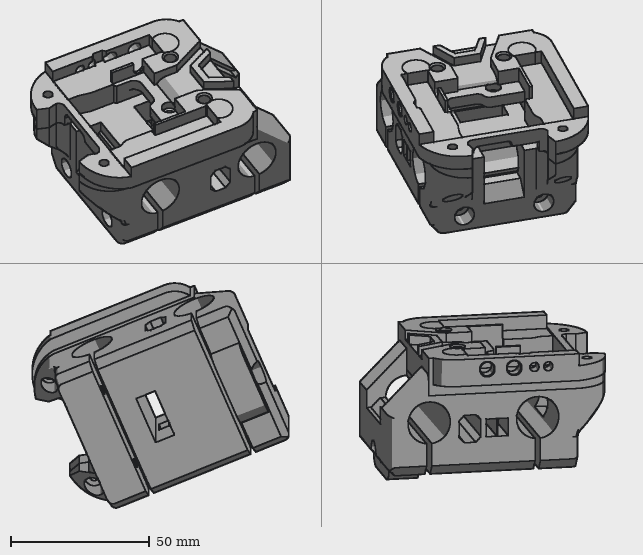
import cadquery as cq
import math

plate_half_width = 32.0
block_half_width = 27.55
back_y = 82.0
plate_back_y = 67.2
plate_front_y = 12.6
block_front_y = 12.0

top_z = 49.0
trough_z = 45.6
wing_top_z = 44.6
floor_z = 44.0
finger_top_z = 43.4
plate_bottom_z = 39.0
parting_z = 35.0
block_bottom_z = 5.1

bore_radius = 7.8
bore_z = 24.9
front_bore_y = 27.1
rear_bore_y = 67.1
clamp_slot_width = 2.0
bottom_chamfer_width = 2.95
bottom_chamfer_height = 3.8
rear_bottom_chamfer = 2.8
cheek_round = 2.95
left_cheek_bevel_size = 2.0
edge_round = 2.0
back_slope_top_z = 42.8
back_slope_bottom_z = back_slope_top_z - (back_y - plate_back_y)
back_gap_half_width = 12.55
back_gap_z = bore_z
back_gap_slope = 3.45
back_gap_rear_y = 80.4

tab_half_width = 14.0
tab_corner_radius = 4.9
tab_back_y = 79.1
tab_hole_radius = 4.2
tab_hole_z = 8.1

window_half_width = 7.6
window_back_y = 22.05
window_ledge_z = 20.0
window_ledge_y = 16.9
window_sill_z = 14.9

shaft_half_width = 9.0
shaft_front_y = 36.6
shaft_back_y = 43.95

octagon_y = 52.0
octagon_z = 22.0
octagon_width = 8.0
octagon_height = 10.25
octagon_chamfer = 2.0

belt_slot_length = 3.9
belt_slot_height = 6.6
belt_slot_z = 22.0
belt_slot_middles = (39.85, 44.1)

clamp_screw_x = 15.0
clamp_screw_z = 11.1
clamp_screw_diameter = 3.3
clamp_head_diameter = 7.4
clamp_head_depth = 6.6
clamp_screw_end_y = 41.0

wing_tip_x = 15.75
wing_slope_top_z = 30.2
wing_root_z = 16.9
wing_root_radius = 2.9
wing_edge_round = 1.3
wing_bulge = 0.17
wing_hook_points = ((-14.3, 4.4), (-15.1, 7.8))
wing_hollow_sag = 0.4
wing_bar_y = 9.8
wing_bar_x = 12.6
wing_groove_x = 12.1
wing_hole_x = 20.8
wing_hole_y = 7.55
wing_hole_diameter = 3.45
left_nut_diameter = 7.2
right_nut_diameter = 6.1

plate_corner_radius = 10.0
side_pocket_inner_x = 16.5
side_pocket_outer_x = 26.5
side_pocket_back_y = 52.6
rim_notch_y = 31.9
rim_notch_outer_length = 3.6

trough_half_width = 7.6
trough_back_half_width = 14.9
trough_corner_y = 53.55
trough_roll_start_y = 49.2
trough_roll_end_y = 45.2
shoulder_front_y = 44.2
fence_inner_x = 15.4
fence_front_y = 31.2
fence_notch_front_y = 40.0

pocket_flare_start_y = 16.2
left_flare_end_y = 22.6
left_flare_end_x = 14.5
right_flare_end_y = 21.3
pocket_corner_bevel = 0.8

finger_front_y = 37.1
finger_hook_y = 40.6
finger_left_x = 13.7
finger_corner_radius = 3.3
finger_step_start_x = -2.05
finger_step_end_x = 2.8
finger_hole_x = 5.4
finger_hole_y = 43.1
finger_hole_diameter = 3.1
finger_head_diameter = 5.6
finger_head_depth = 2.95
undercut_back_y = 44.8

arch_left_x = -12.1
arch_right_x = 2.3
arch_height = 2.5
arch_radius = 2.0

mount_screw_x = 12.55
mount_screw_y = 53.55
mount_screw_diameter = 3.45
mount_insert_diameter = 4.4
mount_insert_depth = 6.6
mount_rim_diameter = 5.7
mount_rim_depth = 0.65

side_hole_z = 44.9
large_side_holes = (36.6, 46.5)
small_side_holes = (24.0, 29.1)
large_side_diameter = 5.1
large_side_rim_diameter = 5.6
large_side_rim_depth = 0.5
small_side_diameter = 3.3

chevron_front_y = 57.65
chevron_inner_y = 60.35
chevron_outer_half_widths = (9.9, 5.0)
chevron_inner_half_widths = (7.4, 3.7)

plug_x = 20.0
plug_y = 55.5
plug_diameter = 10.0


def box(x0, x1, y0, y1, z0, z1):
    """Axis-aligned box between the given limits."""
    return cq.Workplane("XY").box(x1 - x0, y1 - y0, z1 - z0, centered=False).translate((x0, y0, z0))


def post(x, y, diameter, z0, z1):
    """Upright cylinder."""
    return cq.Workplane("XY", origin=(x, y, z0)).circle(diameter / 2).extrude(z1 - z0)


def side_bar(y, z, diameter, x0, x1):
    """Cylinder along X."""
    return cq.Workplane("YZ", origin=(x0, 0, 0)).center(y, z).circle(diameter / 2).extrude(x1 - x0)


def long_bar(x, z, diameter, y0, y1):
    """Cylinder along Y."""
    return cq.Workplane("XZ", origin=(0, y0, 0)).center(x, z).circle(diameter / 2).extrude(y0 - y1)


def side_prism(points, half_width):
    """Prism across X, symmetric about x = 0, from (y, z) points."""
    return cq.Workplane("YZ").polyline(points).close().extrude(half_width, both=True)


def both_sides(left):
    """The left-hand shape together with its mirror image."""
    return left.union(left.mirror("YZ"))


def left_wing(outer_x, root_y, inner_points, z0, z1):
    """Left wing: bulging outer arc, hooked inner edge, hollow arc to the first inner point, then the rest."""
    chord_x = outer_x - wing_tip_x
    chord = math.hypot(chord_x, root_y)
    rise = wing_bulge * chord
    bulge_point = (
        -(outer_x + wing_tip_x) / 2 - rise * root_y / chord,
        root_y / 2 - rise * chord_x / chord,
    )
    hook_end = wing_hook_points[-1]
    hollow_end, *root_points = inner_points
    hollow_point = (
        (hook_end[0] + hollow_end[0]) / 2 - wing_hollow_sag,
        (hook_end[1] + hollow_end[1]) / 2 + wing_hollow_sag,
    )
    return (
        cq.Workplane("XY", origin=(0, 0, z0))
        .moveTo(-outer_x, root_y)
        .threePointArc(bulge_point, (-wing_tip_x, 0))
        .polyline(wing_hook_points, includeCurrent=True)
        .threePointArc(hollow_point, hollow_end)
        .polyline(root_points, includeCurrent=True)
        .close()
        .extrude(z1 - z0)
    )


def block_body():
    """Long block with a sloping rear, chamfered along the bottom."""
    profile = [
        (block_front_y, block_bottom_z),
        (back_y - rear_bottom_chamfer, block_bottom_z),
        (back_y, block_bottom_z + rear_bottom_chamfer),
        (back_y, back_slope_bottom_z),
        (plate_back_y, back_slope_top_z),
        (plate_back_y, parting_z),
        (block_front_y, parting_z),
    ]
    body = side_prism(profile, block_half_width)
    section = [
        (-block_half_width, block_bottom_z + bottom_chamfer_height),
        (-block_half_width + bottom_chamfer_width, block_bottom_z),
        (block_half_width - bottom_chamfer_width, block_bottom_z),
        (block_half_width, block_bottom_z + bottom_chamfer_height),
        (block_half_width, top_z),
        (-block_half_width, top_z),
    ]
    body = body.intersect(cq.Workplane("XZ").polyline(section).close().extrude(-back_y))
    body = body.faces("<Y").edges("not |X").fillet(edge_round)
    rear_edges = cq.selectors.BoxSelector(
        (-plate_half_width, plate_back_y + edge_round, block_bottom_z + bottom_chamfer_height),
        (plate_half_width, back_y + edge_round, top_z),
    )
    return body.edges(rear_edges).edges("<X or >X").fillet(cheek_round)


def block_wings():
    """Wings under the carriage wings, cut off below by a 45 degree slope."""
    groove_end = [
        (-wing_groove_x, block_front_y),
        (-wing_groove_x, block_front_y + edge_round),
        (-block_half_width, block_front_y + edge_round),
    ]
    wings = both_sides(left_wing(block_half_width, block_front_y, groove_end, wing_root_z, parting_z))
    root_center_y = block_front_y - wing_root_radius
    quarter = math.radians(45)
    bend_middle = quarter / 2
    slope_end_y = root_center_y + wing_root_radius * math.cos(quarter)
    slope_end_z = wing_slope_top_z - slope_end_y
    root_center_z = slope_end_z - wing_root_radius * math.sin(quarter)
    keep = (
        cq.Workplane("YZ")
        .moveTo(0, parting_z)
        .lineTo(0, wing_slope_top_z)
        .lineTo(slope_end_y, slope_end_z)
        .threePointArc(
            (
                root_center_y + wing_root_radius * math.cos(bend_middle),
                root_center_z + wing_root_radius * math.sin(bend_middle),
            ),
            (block_front_y, root_center_z),
        )
        .lineTo(block_front_y + edge_round, root_center_z)
        .lineTo(block_front_y + edge_round, parting_z)
        .close()
        .extrude(block_half_width, both=True)
    )
    wings = wings.intersect(keep)
    wings = wings.faces(">(0,-1,-1)").edges("not |X").fillet(wing_edge_round)
    for x, diameter in ((-wing_hole_x, left_nut_diameter), (wing_hole_x, right_nut_diameter)):
        wings = wings.cut(post(x, wing_hole_y, diameter, wing_root_z, parting_z))
    return wings


def block_tab():
    """Rounded tab hanging under the rear clamp, behind its slot."""
    tab_front_y = rear_bore_y + clamp_slot_width / 2
    tab = box(-tab_half_width, tab_half_width, tab_front_y, tab_back_y, 0, block_bottom_z + edge_round)
    return tab.edges("|Y and <Z").fillet(tab_corner_radius)


def block_bores():
    """Two cross bores, each with a clamping slot down to the bottom."""
    cuts = cq.Workplane("XY")
    half_slot = clamp_slot_width / 2
    for y in (front_bore_y, rear_bore_y):
        cuts = cuts.union(side_bar(y, bore_z, 2 * bore_radius, -block_half_width, block_half_width))
        cuts = cuts.union(
            box(-block_half_width, block_half_width, y - half_slot, y + half_slot, 0, bore_z)
        )
    return cuts


def block_back_gap():
    """Gap between the two rear cheeks, with a sloped sill."""
    profile = [
        (plate_back_y, back_gap_z),
        (back_gap_rear_y - back_gap_slope, back_gap_z),
        (back_gap_rear_y, back_gap_z - back_gap_slope),
        (back_y, back_gap_z - back_gap_slope),
        (back_y, top_z),
        (plate_back_y, top_z),
    ]
    return side_prism(profile, back_gap_half_width)


def left_cheek_bevel():
    """Bevel along the inner sloping edge of the left cheek."""
    size = left_cheek_bevel_size
    slope_length = math.sqrt(2) * (back_y - plate_back_y)
    across = cq.Plane(
        origin=(-back_gap_half_width, plate_back_y, back_slope_top_z), xDir=(1, 0, 0), normal=(0, 1, -1)
    )
    section = [(0, size), (0, -size), (-2 * size, size)]
    return cq.Workplane(across).polyline(section).close().extrude(slope_length)


def block_window():
    """Front window, open above and running into the front bore over a ramp."""
    profile = [
        (block_front_y, window_sill_z),
        (window_ledge_y, window_ledge_z),
        (window_back_y, window_ledge_z),
        (window_back_y, parting_z),
        (block_front_y, parting_z),
    ]
    return side_prism(profile, window_half_width)


def block_octagon_hole():
    """Eight-sided passage across the block."""
    return (
        cq.Workplane("YZ")
        .center(octagon_y, octagon_z)
        .rect(octagon_width, octagon_height)
        .extrude(block_half_width, both=True)
        .edges("|X")
        .chamfer(octagon_chamfer)
    )


def block_belt_slots():
    """Two slots from the left side into the shaft."""
    slots = cq.Workplane("XY")
    for y in belt_slot_middles:
        slots = slots.union(
            box(
                -block_half_width,
                -shaft_half_width,
                y - belt_slot_length / 2,
                y + belt_slot_length / 2,
                belt_slot_z - belt_slot_height / 2,
                belt_slot_z + belt_slot_height / 2,
            )
        )
    return slots


def clamp_screw_holes():
    """Lengthwise clamp screw holes, counterbored from the front."""
    holes = cq.Workplane("XY")
    for x in (-clamp_screw_x, clamp_screw_x):
        holes = holes.union(long_bar(x, clamp_screw_z, clamp_screw_diameter, 0, clamp_screw_end_y))
        holes = holes.union(
            long_bar(x, clamp_screw_z, clamp_head_diameter, 0, block_front_y + clamp_head_depth)
        )
    return holes


def make_clamp_block():
    shaft = box(-shaft_half_width, shaft_half_width, shaft_front_y, shaft_back_y, 0, parting_z)
    return (
        block_body()
        .union(block_wings())
        .union(block_tab())
        .cut(block_bores())
        .cut(block_back_gap())
        .cut(left_cheek_bevel())
        .cut(block_window())
        .cut(shaft)
        .cut(block_octagon_hole())
        .cut(block_belt_slots())
        .cut(clamp_screw_holes())
        .cut(long_bar(0, tab_hole_z, 2 * tab_hole_radius, rear_bore_y, back_y))
    )


def carriage_body():
    """Wide plate with rounded rear corners on a narrower, square-cornered core, plus wings."""
    plate = box(
        -plate_half_width, plate_half_width, plate_front_y, plate_back_y, plate_bottom_z, top_z
    )
    plate = plate.edges("|Z and >Y").fillet(plate_corner_radius)
    core = box(-block_half_width, block_half_width, plate_front_y, plate_back_y, parting_z, top_z)
    bar_end = [(-wing_bar_x, wing_bar_y), (0, wing_bar_y), (0, plate_front_y)]
    upper_wings = both_sides(left_wing(plate_half_width, plate_front_y, bar_end, plate_bottom_z, wing_top_z))
    wing_end = [
        (-wing_bar_x, wing_bar_y),
        (-wing_bar_x, plate_front_y),
        (-block_half_width, plate_front_y),
    ]
    lower_wings = both_sides(left_wing(block_half_width, block_front_y, wing_end, parting_z, plate_bottom_z))
    body = plate.union(core).union(upper_wings).union(lower_wings)
    for x in (-wing_hole_x, wing_hole_x):
        body = body.cut(post(x, wing_hole_y, wing_hole_diameter, parting_z, wing_top_z))
    return body


def side_pockets():
    """Long pockets inside the rims, open to the front."""
    return both_sides(
        box(
            -side_pocket_outer_x,
            -side_pocket_inner_x,
            plate_front_y,
            side_pocket_back_y,
            floor_z,
            top_z,
        )
    )


def rim_notch():
    """Shallow notch with sloping ends in the inner face of the left rim."""
    depth = block_half_width - side_pocket_outer_x
    outer_half = rim_notch_outer_length / 2
    inner_half = outer_half + depth
    points = [
        (-side_pocket_outer_x, rim_notch_y - inner_half),
        (-block_half_width, rim_notch_y - outer_half),
        (-block_half_width, rim_notch_y + outer_half),
        (-side_pocket_outer_x, rim_notch_y + inner_half),
    ]
    return cq.Workplane("XY", origin=(0, 0, floor_z)).polyline(points).close().extrude(top_z - floor_z)


def middle_clearance():
    """Everything above floor level between the fences and in front of the raised blocks."""
    behind = box(
        -fence_inner_x, fence_inner_x, fence_front_y, shoulder_front_y, finger_top_z, top_z
    )
    ahead = box(
        -side_pocket_inner_x, side_pocket_inner_x, plate_front_y, fence_front_y, floor_z, top_z
    )
    return behind.union(ahead)


def fence_notch():
    """Round-bottomed gap between the left raised block and its fence."""
    radius = (shoulder_front_y - fence_notch_front_y) / 2
    middle_y = fence_notch_front_y + radius
    round_z = floor_z + radius
    upper = box(
        -side_pocket_inner_x, -fence_inner_x, fence_notch_front_y, shoulder_front_y, round_z, top_z
    )
    return upper.union(side_bar(middle_y, round_z, 2 * radius, -side_pocket_inner_x, -fence_inner_x))


def trough():
    """Flared trough between the raised blocks, rolling down to the finger at its front."""
    plan = [
        (-trough_half_width, shoulder_front_y),
        (-trough_half_width, trough_corner_y),
        (-trough_back_half_width, plate_back_y),
        (trough_back_half_width, plate_back_y),
        (trough_half_width, trough_corner_y),
        (trough_half_width, shoulder_front_y),
    ]
    depth = top_z - finger_top_z
    prism = cq.Workplane("XY", origin=(0, 0, finger_top_z)).polyline(plan).close().extrude(depth)
    run = trough_roll_start_y - trough_roll_end_y
    drop = trough_z - finger_top_z
    roll_radius = (run**2 + drop**2) / (2 * drop)
    half_run = run / 2
    half_drop = roll_radius - math.sqrt(roll_radius**2 - half_run**2)
    above_roll = (
        cq.Workplane("YZ")
        .moveTo(plate_back_y, trough_z)
        .lineTo(trough_roll_start_y, trough_z)
        .threePointArc(
            (trough_roll_start_y - half_run, trough_z - half_drop), (trough_roll_end_y, finger_top_z)
        )
        .lineTo(shoulder_front_y, finger_top_z)
        .lineTo(shoulder_front_y, top_z)
        .lineTo(plate_back_y, top_z)
        .close()
        .extrude(plate_half_width, both=True)
    )
    return prism.intersect(above_roll)


def chevron():
    """V-shaped rib standing on the trough floor."""
    outer_rear, outer_point = chevron_outer_half_widths
    inner_rear, inner_point = chevron_inner_half_widths
    points = [
        (-outer_rear, plate_back_y),
        (-outer_point, chevron_front_y),
        (outer_point, chevron_front_y),
        (outer_rear, plate_back_y),
        (inner_rear, plate_back_y),
        (inner_point, chevron_inner_y),
        (-inner_point, chevron_inner_y),
        (-inner_rear, plate_back_y),
    ]
    return (
        cq.Workplane("XY", origin=(0, 0, trough_z)).polyline(points).close().extrude(top_z - trough_z)
    )


def deep_pocket():
    """Middle opening down to the clamp block; its rear edge forms the front of the finger."""
    step_middle = ((finger_step_start_x + finger_step_end_x) / 2, (finger_hook_y + finger_front_y) / 2)
    corner_offset = finger_corner_radius * (1 - math.sqrt(0.5))
    return (
        cq.Workplane("XY", origin=(0, 0, parting_z))
        .moveTo(-fence_inner_x, plate_front_y)
        .lineTo(-fence_inner_x, pocket_flare_start_y)
        .spline(
            [(-left_flare_end_x, left_flare_end_y)], tangents=[(0, 1), (0, 1)], includeCurrent=True
        )
        .lineTo(-left_flare_end_x, fence_front_y)
        .lineTo(-finger_left_x, fence_front_y + pocket_corner_bevel)
        .lineTo(-finger_left_x, finger_hook_y - finger_corner_radius)
        .threePointArc(
            (-finger_left_x + corner_offset, finger_hook_y - corner_offset),
            (-finger_left_x + finger_corner_radius, finger_hook_y),
        )
        .lineTo(finger_step_start_x, finger_hook_y)
        .tangentArcPoint(step_middle, relative=False)
        .tangentArcPoint((finger_step_end_x, finger_front_y), relative=False)
        .lineTo(fence_inner_x, finger_front_y)
        .lineTo(fence_inner_x, fence_front_y)
        .lineTo(finger_left_x, fence_front_y)
        .lineTo(finger_left_x, right_flare_end_y)
        .spline(
            [(fence_inner_x, pocket_flare_start_y)], tangents=[(0, -1), (0, -1)], includeCurrent=True
        )
        .lineTo(fence_inner_x, plate_front_y)
        .close()
        .extrude(floor_z - parting_z)
    )


def finger_undercut():
    """Clearance beneath the finger, over the shaft."""
    return box(
        -finger_left_x,
        fence_inner_x,
        finger_front_y,
        undercut_back_y,
        parting_z,
        plate_bottom_z,
    )


def finger_hole():
    """Counterbored hole through the finger."""
    hole = post(finger_hole_x, finger_hole_y, finger_hole_diameter, plate_bottom_z, finger_top_z)
    head = post(
        finger_hole_x, finger_hole_y, finger_head_diameter, finger_top_z - finger_head_depth, finger_top_z
    )
    return hole.union(head)


def bar_arch():
    """Arched relief under the bar that joins the wings."""
    arch = box(
        arch_left_x, arch_right_x, wing_bar_y, plate_front_y, plate_bottom_z, plate_bottom_z + arch_height
    )
    return arch.edges("|Y and >Z").fillet(arch_radius)


def mount_screw_holes():
    """Chamfered insert holes in the raised blocks, with screw holes going on below."""
    left = post(-mount_screw_x, mount_screw_y, mount_screw_diameter, parting_z, top_z)
    left = left.union(
        post(-mount_screw_x, mount_screw_y, mount_insert_diameter, top_z - mount_insert_depth, top_z)
    )
    rim = (
        cq.Workplane("XY", origin=(-mount_screw_x, mount_screw_y, top_z))
        .circle(mount_rim_diameter / 2)
        .workplane(offset=-mount_rim_depth)
        .circle(mount_insert_diameter / 2)
        .loft()
    )
    return both_sides(left.union(rim))


def left_side_holes():
    """Row of holes through the left rim."""
    holes = cq.Workplane("XY")
    for y in large_side_holes:
        holes = holes.union(
            side_bar(y, side_hole_z, large_side_diameter, -plate_half_width, -side_pocket_outer_x)
        )
        holes = holes.union(
            side_bar(
                y,
                side_hole_z,
                large_side_rim_diameter,
                -plate_half_width,
                -plate_half_width + large_side_rim_depth,
            )
        )
    for y in small_side_holes:
        holes = holes.union(
            side_bar(y, side_hole_z, small_side_diameter, -plate_half_width, -side_pocket_outer_x)
        )
    return holes


def make_plug(x):
    """Round plug in the raised block, flush on top and trimmed by pocket and screw hole."""
    return post(x, plug_y, plug_diameter, floor_z, top_z).cut(side_pockets()).cut(mount_screw_holes())


def make_carriage(plug_solids):
    body = (
        carriage_body()
        .cut(side_pockets())
        .cut(rim_notch())
        .cut(middle_clearance())
        .cut(fence_notch())
        .cut(trough())
        .union(chevron())
        .cut(deep_pocket())
        .cut(finger_undercut())
        .cut(finger_hole())
        .cut(bar_arch())
        .cut(mount_screw_holes())
        .cut(left_side_holes())
    )
    for plug in plug_solids:
        body = body.cut(plug)
    return body


clamp_block = make_clamp_block()
plugs = [make_plug(x) for x in (-plug_x, plug_x)]
carriage = make_carriage(plugs)

result = cq.Compound.makeCompound([clamp_block.val(), carriage.val(), *[plug.val() for plug in plugs]])